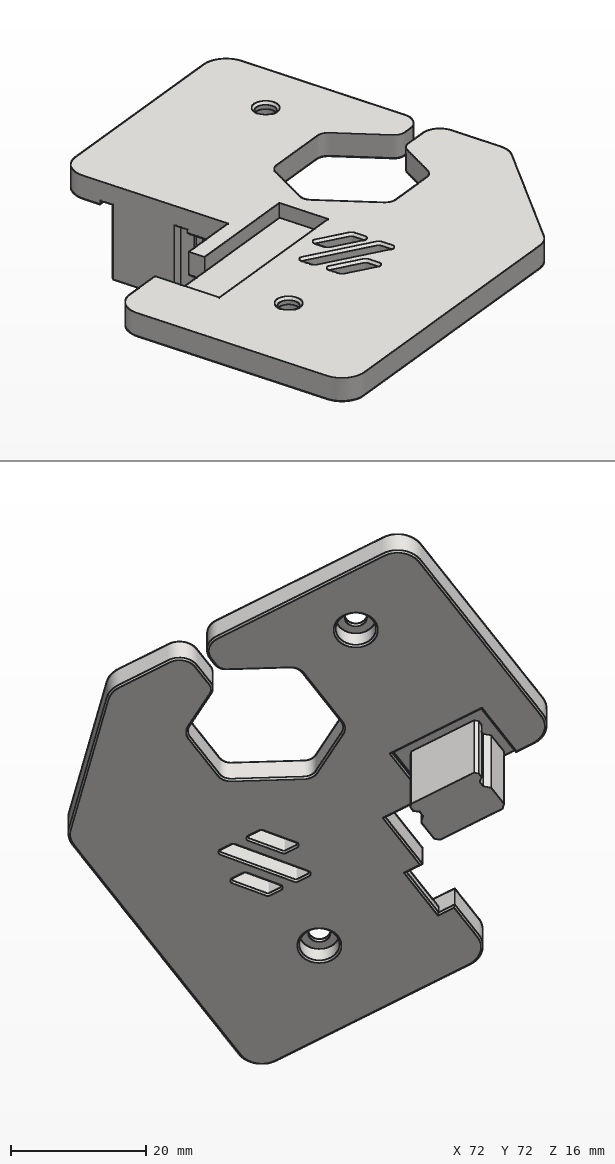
import cadquery as cq
import math

plate_side = 72.0
total_height = 16.0
plate_thickness = 4.2
notch_side = 30.0
diagonal_cut = 20.0
corner_radius = 4.0
bottom_chamfer = 0.3

hex_point_x = 35.1
hex_wall_x = 36.3
hex_y = 54.1
hex_apothem = 10.2
hex_corner_radius = 2.0
slit_left = 36.2
slit_right = 38.5
slit_mouth_radius = 3.0

hole_diameter = 3.3
counterbore_diameter = 6.0
counterbore_depth = 3.0
hole_positions = [(15.0, 62.2), (51.0, 15.05)]

pocket_left = 32.8
pocket_right = 41.55
pocket_front = 10.7
pocket_back = 39.45
pocket_depth = 2.5
gap_back = 19.65

slot_x = 49.6
slot_y = 32.5
slot_lean = 57
slot_width = 2.6
slot_pitch = 4.9
long_slot = 10.65
short_slot = 5.2
slot_radius = 0.3

rim_chamfer = 0.4

leg_x = hole_positions[0][0]
block_half_width = 6.1
block_chamfer = 0.65
block_depth = 4.25
neck_half_width = 5.25
neck_end = 6.05
lip_half_width = 6.0
lip_start = 6.7
lip_chamfer = 0.5
leg_depth = 8.0

relief_half_width = 7.8
relief_height = 0.9
relief_depth = leg_depth + relief_half_width - block_half_width


def make_box(x_min, x_max, y_min, y_max, z_min, z_max):
    box = cq.Workplane("XY").box(x_max - x_min, y_max - y_min, z_max - z_min, centered=False)
    return box.translate((x_min, y_min, z_min))


def fillet_upright_edges(body, corners, radius):
    """Round the vertical edges of the plate that stand at the given (x, y) corners."""
    reach = 0.1
    for x, y in corners:
        around_corner = cq.selectors.BoxSelector(
            (x - reach, y - reach, 0), (x + reach, y + reach, plate_thickness)
        )
        body = body.edges(around_corner).fillet(radius)
    return body


def make_plate():
    """Plate with its notch, diagonal corner, hexagonal opening and slit."""
    slope = math.tan(math.radians(30))
    point_reach = hex_apothem / math.cos(math.radians(30))
    wall_left = hex_wall_x - hex_apothem
    wall_right = hex_wall_x + hex_apothem

    def rise(x):
        """Height above the hexagon center of the slanted edge rising to the right."""
        return point_reach + slope * (x - hex_point_x)

    def fall(x):
        """Height above the hexagon center of the slanted edge falling to the right."""
        return point_reach - slope * (x - hex_point_x)

    outer_corners = [
        (0, plate_side),
        (0, notch_side),
        (notch_side, 0),
        (plate_side, 0),
        (plate_side, plate_side - diagonal_cut),
        (plate_side - diagonal_cut, plate_side),
    ]
    hex_corners = [
        (slit_right, hex_y + fall(slit_right)),
        (wall_right, hex_y + fall(wall_right)),
        (wall_right, hex_y - fall(wall_right)),
        (hex_point_x, hex_y - point_reach),
        (wall_left, hex_y - rise(wall_left)),
        (wall_left, hex_y + rise(wall_left)),
        (slit_left, hex_y + rise(slit_left)),
    ]
    slit_mouth = [(slit_right, plate_side), (slit_left, plate_side)]
    notch_corner = [(notch_side, notch_side)]

    outline = outer_corners[:2] + notch_corner + outer_corners[2:]
    outline += slit_mouth[:1] + hex_corners + slit_mouth[1:]
    body = cq.Workplane("XY").polyline(outline).close().extrude(plate_thickness)
    body = fillet_upright_edges(body, outer_corners, corner_radius)
    body = fillet_upright_edges(body, hex_corners, hex_corner_radius)
    return fillet_upright_edges(body, slit_mouth, slit_mouth_radius)


def make_hole_cutter(x, y):
    """Screw hole with a flared top rim and a counterbore below."""
    hole = cq.Workplane("XY").circle(hole_diameter / 2).extrude(plate_thickness)
    flare = cq.Solid.makeCone(
        hole_diameter / 2,
        hole_diameter / 2 + rim_chamfer,
        rim_chamfer,
        pnt=cq.Vector(0, 0, plate_thickness - rim_chamfer),
    )
    counterbore = cq.Workplane("XY").circle(counterbore_diameter / 2).extrude(counterbore_depth)
    return hole.union(cq.Workplane(flare)).union(counterbore).translate((x, y, 0))


def make_slot_cutter(x, y, length):
    """Leaning slot with rounded corners and a flared top rim, centered at (x, y)."""
    half_length = length / 2
    half_width = slot_width / 2
    shift = half_length / math.tan(math.radians(slot_lean))
    corners = [
        (-shift - half_width, -half_length),
        (-shift + half_width, -half_length),
        (shift + half_width, half_length),
        (shift - half_width, half_length),
    ]
    slot = cq.Workplane("XY").polyline(corners).close().extrude(plate_thickness)
    slot = slot.edges("|Z").fillet(slot_radius)
    rim = slot.faces("<Z").wires().val().translate(cq.Vector(0, 0, plate_thickness - rim_chamfer))
    flare = cq.Workplane("XY").add(rim).toPending().extrude(rim_chamfer, taper=-45)
    return slot.union(flare).translate((x, y, 0))


def cut_slots(body):
    """Cut the long slot and the two short ones, each flush with one end of the long slot."""
    offset_y = (long_slot - short_slot) / 2
    offset_x = slot_pitch - offset_y / math.tan(math.radians(slot_lean))
    body = body.cut(make_slot_cutter(slot_x, slot_y, long_slot))
    for side in (-1, 1):
        body = body.cut(make_slot_cutter(slot_x + side * offset_x, slot_y - side * offset_y, short_slot))
    return body


def cut_pocket(body):
    """Cut the top pocket and the gap that opens it to the notch."""
    floor = plate_thickness - pocket_depth
    pocket = make_box(pocket_left, pocket_right, pocket_front, pocket_back, floor, plate_thickness)
    gap = make_box(notch_side, pocket_left, pocket_front, gap_back, 0, plate_thickness)
    return body.cut(pocket).cut(gap)


def cut_relief(body):
    """Cut the underside relief, open to the notch wall."""
    relief = make_box(
        leg_x - relief_half_width,
        leg_x + relief_half_width,
        notch_side,
        notch_side + relief_depth,
        0,
        relief_height,
    )
    return body.cut(relief)


def make_leg():
    """Leg hanging from the ceiling of the relief."""
    leg_length = total_height - plate_thickness
    neck_start = block_depth + block_half_width - neck_half_width
    half_profile = [
        (block_half_width - block_chamfer, 0),
        (block_half_width, block_chamfer),
        (block_half_width, block_depth),
        (neck_half_width, neck_start),
        (neck_half_width, neck_end),
        (lip_half_width, lip_start),
        (lip_half_width, leg_depth - lip_chamfer),
        (lip_half_width - lip_chamfer, leg_depth),
    ]
    mirrored_half = [(-x, y) for x, y in reversed(half_profile)]
    profile = cq.Workplane("XY").polyline(half_profile + mirrored_half).close()
    leg = profile.extrude(leg_length + relief_height)
    return leg.translate((leg_x, notch_side, -leg_length))


plate = make_plate()
plate = cut_relief(plate)
plate = cut_pocket(plate)
plate = cut_slots(plate)
for hole_x, hole_y in hole_positions:
    plate = plate.cut(make_hole_cutter(hole_x, hole_y))
plate = plate.faces("<Z").edges().chamfer(bottom_chamfer)

result = plate.union(make_leg())